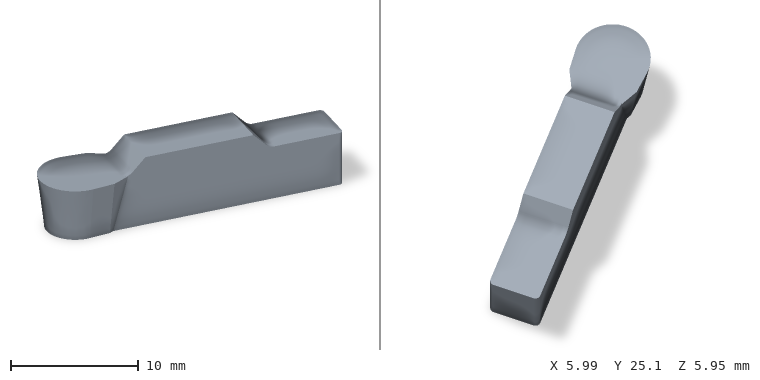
import cadquery as cq
import math

length = 25.05
head_width = 5.99
land_height = 4.58
total_height = 5.95

stem_width = 4.15
back_corner_radius = 0.4
plateau_front = 8.1
plateau_back = 17.33
ramp_angle = 45.0
ramp_foot_radius = 1.0

tip_radius = head_width / 2
side_angle = 5.0
neck_angle = 26.5
relief_angle = 7.0
shoulder_y = 5.14


def make_stem():
    """Straight bar with a raised plateau between two ramps."""
    ramp_run = (total_height - land_height) / math.tan(math.radians(ramp_angle))
    ramp_front = plateau_front - ramp_run
    ramp_back = plateau_back + ramp_run
    bar = (
        cq.Workplane("YZ")
        .moveTo(shoulder_y, 0)
        .lineTo(length, 0)
        .lineTo(length, land_height)
        .lineTo(ramp_back, land_height)
        .lineTo(plateau_back, total_height)
        .lineTo(plateau_front, total_height)
        .lineTo(ramp_front, land_height)
        .lineTo(shoulder_y, land_height)
        .close()
        .extrude(stem_width / 2, both=True)
    )
    bar = bar.edges("|Z and >Y").fillet(back_corner_radius)
    for ramp_foot in (ramp_front, ramp_back):
        foot_edge = cq.selectors.NearestToPointSelector((0, ramp_foot, land_height))
        bar = bar.edges(foot_edge).fillet(ramp_foot_radius)
    return bar


def make_head():
    """Round-nosed cutting head, widest at the top and relieved towards the base."""
    side = math.radians(side_angle)
    tangent_x = tip_radius * math.cos(side)
    tangent_y = tip_radius * (1 + math.sin(side))
    shoulder_x = tangent_x - (shoulder_y - tangent_y) * math.tan(side)
    neck_x = stem_width / 2
    neck_y = shoulder_y + (shoulder_x - neck_x) / math.tan(math.radians(neck_angle))
    return (
        cq.Workplane("XY", origin=(0, 0, land_height))
        .moveTo(-tangent_x, tangent_y)
        .threePointArc((0, 0), (tangent_x, tangent_y))
        .lineTo(shoulder_x, shoulder_y)
        .lineTo(neck_x, neck_y)
        .lineTo(-neck_x, neck_y)
        .lineTo(-shoulder_x, shoulder_y)
        .close()
        .extrude(-land_height, taper=relief_angle)
    )


result = make_stem().union(make_head())